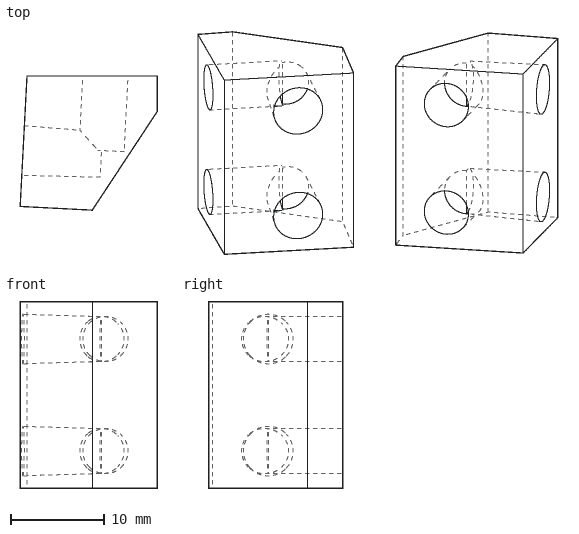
import cadquery as cq
import math

height = 20.0
width = 14.72
depth = 14.4
lean = math.radians(3)
near_left_y = 0.4
near_corner_x = 7.75
right_side_start_y = 10.6

passage_heights = (4.0, 16.0)
inlet_y = 6.4
inlet_mouth_radius = 2.65
bore_radius = 2.42
inlet_length = 8.4
overrun = 0.2


def left_side_x(y):
    """X of the leaning left side at a given Y."""
    return (y - near_left_y) * math.tan(lean)


def block():
    outline = [
        (left_side_x(near_left_y), near_left_y),
        (near_corner_x, 0),
        (width, right_side_start_y),
        (width, depth),
        (left_side_x(depth), depth),
    ]
    return cq.Workplane("XY").polyline(outline).close().extrude(height)


def elbow_passage(z):
    """Tapered inlet square to the left side, and a straight outlet parallel to it."""
    inward = cq.Vector(math.cos(lean), -math.sin(lean), 0)
    backward = cq.Vector(math.sin(lean), math.cos(lean), 0)
    mouth = cq.Vector(left_side_x(inlet_y), inlet_y, z)
    bend = mouth + inward * inlet_length
    inlet = cq.Solid.makeCone(inlet_mouth_radius, bore_radius, inlet_length, mouth, inward)
    outlet_start = bend + backward * (inlet_length * math.tan(lean))
    outlet_length = (depth - outlet_start.y + bore_radius * math.sin(lean)) / math.cos(lean) + overrun
    outlet = cq.Solid.makeCylinder(bore_radius, outlet_length, outlet_start, backward)
    return inlet.fuse(outlet)


result = block()
for passage_z in passage_heights:
    result = result.cut(cq.Workplane(obj=elbow_passage(passage_z)))